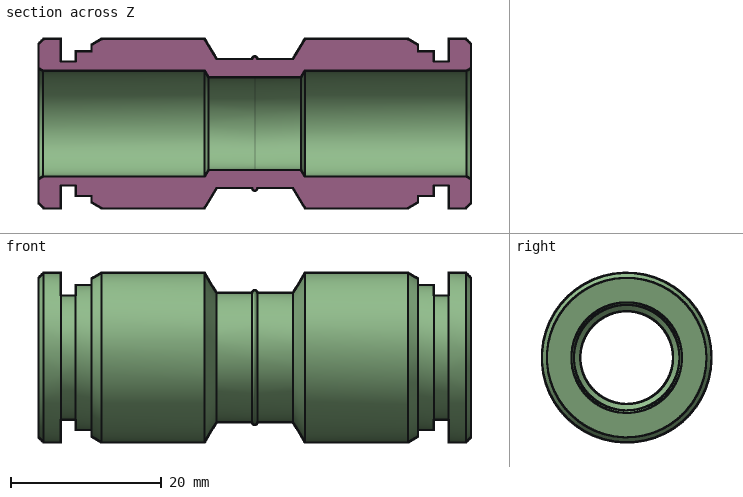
import cadquery as cq
import math

length = 57.3
outer_diameter = 22.5
half_length = length / 2
outer_radius = outer_diameter / 2

flange_width = 3.0
flange_chamfer_length = 0.7
flange_chamfer_depth = 0.7
sleeve_radius = 8.25

collar_start = 4.9
collar_radius = 9.6

body_start = 7.0
body_chamfer_length = 1.4
body_chamfer_depth = 0.8
cone_start = 22.0
cone_end = 23.6

neck_radius = 8.6
rib_height = 0.35

mouth_radius = 7.35
mouth_chamfer_length = 0.6
socket_radius = 7.0
bore_radius = 6.15
stop_start = cone_start
stop_length = (socket_radius - bore_radius) * (cone_end - cone_start) / (outer_radius - neck_radius)


def revolve_about_x(outline):
    """Turn a closed outline, drawn in X and radius, around the X axis."""
    return outline.close().revolve(360, (0, 0, 0), (1, 0, 0))


def make_half_shell():
    """Outer form of the -X half, solid down to the axis, with its end face at X = 0."""
    steps = [
        (0, 0),
        (0, outer_radius - flange_chamfer_depth),
        (flange_chamfer_length, outer_radius),
        (flange_width, outer_radius),
        (flange_width, sleeve_radius),
        (collar_start, sleeve_radius),
        (collar_start, collar_radius),
        (body_start, collar_radius),
        (body_start, outer_radius - body_chamfer_depth),
        (body_start + body_chamfer_length, outer_radius),
        (cone_start, outer_radius),
        (cone_end, neck_radius),
        (half_length - rib_height, neck_radius),
    ]
    arc_offset = rib_height * math.sqrt(0.5)
    rib_middle = (half_length - arc_offset, neck_radius + arc_offset)
    rib_crest = (half_length, neck_radius + rib_height)
    outline = cq.Workplane("XY").polyline(steps).threePointArc(rib_middle, rib_crest)
    return revolve_about_x(outline.lineTo(half_length, 0))


def make_half_bore():
    """Through hole of the -X half, with the tube socket at its mouth."""
    steps = [
        (0, 0),
        (0, mouth_radius),
        (mouth_chamfer_length, socket_radius),
        (stop_start, socket_radius),
        (stop_start + stop_length, bore_radius),
        (half_length, bore_radius),
        (half_length, 0),
    ]
    return revolve_about_x(cq.Workplane("XY").polyline(steps))


half = make_half_shell().cut(make_half_bore()).translate((-half_length, 0, 0))
result = half.union(half.mirror("YZ"))